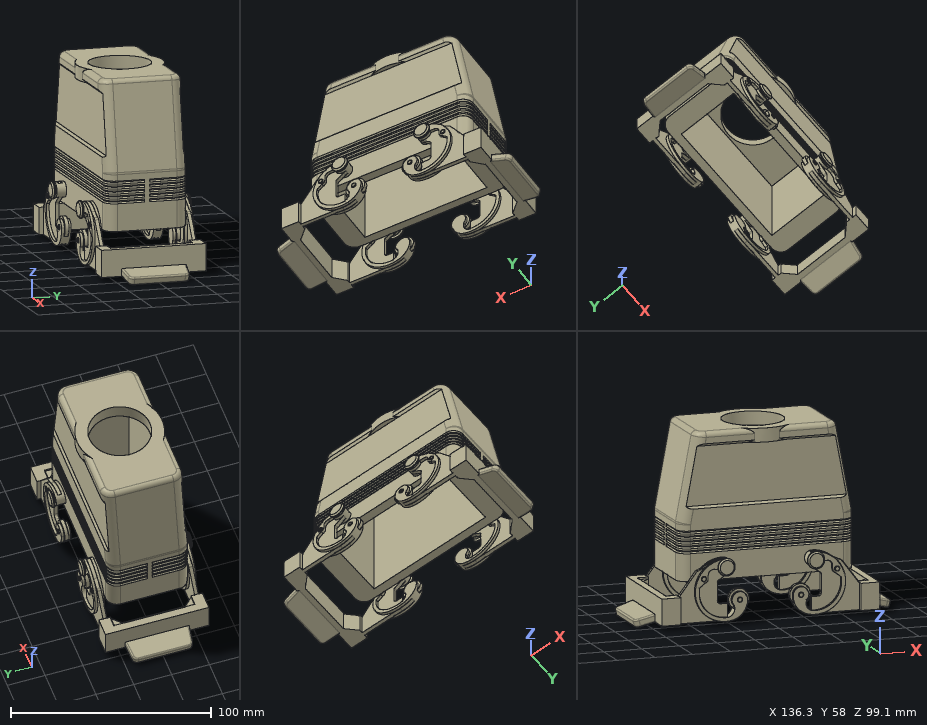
import cadquery as cq
import math

hood_length = 93.0
hood_depth = 42.9
hood_height = 76.0
shoulder_z = 29.7
top_length = 75.5
shoulder_radius = 5.5
corner_radius = 6.0
top_edge_radius = 2.7

cavity_length = 70.6
cavity_depth = 34.1

entry_radius = 16.0
collar_radius = 22.5
collar_height = 7.2
roof_z = hood_height - collar_height

panel_depth = 1.2
panel_bottom_z = 37.1
panel_top_z = roof_z + panel_depth

groove_count = 5
groove_spread = 10.1
groove_pitch = groove_spread / (groove_count - 1)
groove_depth = 0.75
groove_first_z = 14.3
groove_gap = 2.7

pivot_x = -23.7
hook_radius = 16.1
hook_center_z = -4.6
hook_rim_step = 0.3
lever_bottom_z = hook_center_z - hook_radius + hook_rim_step
hook_inner_radius = 14.0
eye_radius = 4.0
pivot_z = hook_center_z + hook_radius - eye_radius
eye_shelf_z = 6.5
tail_radius = 10.1
tip_x = -16.2
tip_z = -10.0
tip_radius = 4.1
tip_plate_radius = 5.5
rivet_x = -35.3
rivet_z = 2.0
rivet_radius = 1.4
rivet_boss_radius = 2.3
rivet_height = 0.4
rivet_chamfer = 0.3

hook_inner_y = 21.7
hook_thickness = 5.0
hook_outer_y = hook_inner_y + hook_thickness
web_thickness = 2.0
web_inner_y = hook_inner_y + (hook_thickness - web_thickness) / 2

neck_radius = 2.5
neck_embed = 2.0
head_radius = 4.5
head_thickness = 1.4
head_chamfer = 0.8
head_outer_y = 29.0

bar_outer_x = -57.8
bar_thickness = 4.2
arm_end_x = -47.7
bar_width = 54.8
arm_gap = 42.7
bar_top_z = -6.4
bar_height = bar_top_z - lever_bottom_z
gusset_size = 5.9
gusset_drop = 1.0

tab_angle = 15
tab_thickness = 4.2
tab_reach = 10.9
tab_embed = 1.4
tab_root_width = 34.3
tab_end_width = 31.3
tab_corner_radius = 2.7
tab_edge_radius = 0.8
tab_root_top_z = -16.4


def polar(center, radius, degrees):
    """Point on a circle in the XZ plane."""
    angle = math.radians(degrees)
    return (center[0] + radius * math.cos(angle), center[1] + radius * math.sin(angle))


def direction(start, end):
    """Angle in degrees of the line from start to end."""
    return math.degrees(math.atan2(end[1] - start[1], end[0] - start[0]))


def plate(profile_wire, inner_y, thickness):
    """Thicken an XZ wire towards -Y, starting at the distance inner_y from the XZ plane."""
    return profile_wire.extrude(thickness).translate((0, -inner_y, 0))


def disc(center, radius, inner_y, thickness):
    return plate(cq.Workplane("XZ").center(*center).circle(radius), inner_y, thickness)


def with_mirror(shape, plane):
    return shape.union(shape.mirror(plane))


def hood_block():
    """House-shaped block with blended shoulders, rounded upright edges and a rounded top edge."""
    low = hood_length / 2
    high = top_length / 2
    outline = [
        (-low, 0),
        (low, 0),
        (low, shoulder_z),
        (high, hood_height),
        (-high, hood_height),
        (-low, shoulder_z),
    ]
    block = cq.Workplane("XZ").polyline(outline).close().extrude(hood_depth / 2, both=True)
    for x in (-low, low):
        shoulder = cq.selectors.NearestToPointSelector((x, 0, shoulder_z))
        block = block.edges("|Y").edges(shoulder).fillet(shoulder_radius)
    block = block.edges("not(#Z or |Y)").fillet(corner_radius)
    return block.faces(">Z").edges().fillet(top_edge_radius)


def panel_recess():
    """Full-length cut in the -Y wall, with sloped upper and lower edges."""
    face_y = -hood_depth / 2
    outside_y = face_y - panel_depth
    outline = [
        (face_y, panel_bottom_z),
        (face_y + panel_depth, panel_bottom_z + panel_depth),
        (face_y + panel_depth, panel_top_z - panel_depth),
        (face_y, panel_top_z),
        (outside_y, panel_top_z),
        (outside_y, panel_bottom_z),
    ]
    return cq.Workplane("YZ").polyline(outline).close().extrude(hood_length / 2, both=True)


def grip_groove(bottom_z):
    """V-shaped groove round the hood, broken in the middle of both end walls."""
    width = 2 * groove_depth
    outer_profile = cq.Sketch().rect(hood_length, hood_depth).vertices().fillet(corner_radius)
    lower_flank = cq.Workplane("XY").placeSketch(outer_profile).extrude(groove_depth, taper=45)
    upper_flank = lower_flank.mirror("XY").translate((0, 0, width))
    strip = cq.Workplane("XY").box(2 * hood_length, groove_gap, 2 * width)
    ring = cq.Workplane("XY").box(hood_length, hood_depth, width, centered=(True, True, False))
    return ring.cut(lower_flank).cut(upper_flank).cut(strip).translate((0, 0, bottom_z))


def make_hood():
    hood = hood_block().cut(with_mirror(panel_recess(), "XZ"))
    collar = cq.Workplane("XY").workplane(offset=roof_z).circle(collar_radius).extrude(collar_height)
    hood = hood.union(collar)
    hood = hood.cut(cq.Workplane("XY").rect(cavity_length, cavity_depth).extrude(roof_z))
    hood = hood.cut(cq.Workplane("XY").circle(entry_radius).extrude(hood_height))
    for index in range(groove_count):
        hood = hood.cut(grip_groove(groove_first_z + index * groove_pitch))
    return hood


hook_center = (pivot_x, hook_center_z)
pivot = (pivot_x, pivot_z)
tip = (tip_x, tip_z)
rivet = (rivet_x, rivet_z)


def tail_center():
    """Center of the blend arc that touches both the hook and the tip from inside."""
    from_hook = hook_radius - tail_radius
    from_tip = tail_radius - tip_radius
    span = math.dist(hook_center, tip)
    cosine = (from_hook**2 + span**2 - from_tip**2) / (2 * from_hook * span)
    return polar(hook_center, from_hook, direction(hook_center, tip) - math.degrees(math.acos(cosine)))


def hook_body():
    """C-shaped hook through the full lever thickness."""
    blend = tail_center()
    hook_to_blend = direction(hook_center, blend)
    blend_to_tip = direction(blend, tip)
    tip_left = 225
    neck_end = -84
    inner_middle = 225
    inner_end = 171
    boss_end = -75
    shelf_radius = 2.7
    boss_right = rivet_x + rivet_boss_radius
    neck_bulge = (tip_x - 2.7, tip_z - 4.9)
    return plate(
        cq.Workplane("XZ")
        .moveTo(*polar(hook_center, hook_radius, 90))
        .threePointArc(polar(hook_center, hook_radius, 180), polar(hook_center, hook_radius, hook_to_blend))
        .threePointArc(
            polar(blend, tail_radius, (hook_to_blend + blend_to_tip) / 2),
            polar(blend, tail_radius, blend_to_tip),
        )
        .threePointArc(
            polar(tip, tip_radius, (blend_to_tip + tip_left) / 2),
            polar(tip, tip_radius, tip_left),
        )
        .threePointArc(neck_bulge, polar(hook_center, hook_inner_radius, neck_end))
        .threePointArc(
            polar(hook_center, hook_inner_radius, inner_middle),
            polar(hook_center, hook_inner_radius, inner_end),
        )
        .lineTo(*polar(rivet, rivet_boss_radius, boss_end))
        .threePointArc(polar(rivet, rivet_boss_radius, boss_end / 2), (boss_right, rivet_z))
        .lineTo(boss_right, eye_shelf_z - shelf_radius)
        .radiusArc((boss_right + shelf_radius, eye_shelf_z), shelf_radius)
        .lineTo(pivot_x, eye_shelf_z)
        .close(),
        hook_inner_y,
        hook_thickness,
    )


def web():
    """Thin plate that ties the hook to the handle and closes its inside up to the throat."""
    throat_x = pivot_x - 3.8
    throat_floor_z = -11.7
    lip_x = pivot_x + 1.5
    lip_foot_z = lever_bottom_z + 0.8
    throat_top_z = 0
    shoulder = (-38.6, 5.7)
    rim_angle = 126
    eye_angle = -60
    outline = [
        (arm_end_x, lever_bottom_z),
        (arm_end_x, bar_top_z),
        shoulder,
        polar(hook_center, hook_radius - hook_rim_step, rim_angle),
        pivot,
        polar(pivot, eye_radius, eye_angle),
        (throat_x, throat_top_z),
        (throat_x, throat_floor_z),
        (lip_x, throat_floor_z),
        (lip_x, lip_foot_z),
        (pivot_x, lever_bottom_z),
    ]
    body = plate(cq.Workplane("XZ").polyline(outline).close(), web_inner_y, web_thickness)
    rounded = [(shoulder, 2.7), ((throat_x, throat_top_z), 1.1), ((throat_x, throat_floor_z), 1.8)]
    for (x, z), radius in rounded:
        corner = cq.selectors.NearestToPointSelector((x, -web_inner_y - web_thickness / 2, z))
        body = body.edges("|Y").edges(corner).fillet(radius)
    return body


def rim_groove():
    """Shallow step round the middle layer of the hook's rim."""
    rim = cq.Workplane("XZ").center(*hook_center).circle(2 * hook_radius).circle(hook_radius - hook_rim_step)
    return plate(rim, web_inner_y, web_thickness)


def rivet_head(center):
    pin = disc(center, rivet_radius, web_inner_y, hook_outer_y + rivet_height - web_inner_y)
    return pin.faces("<Y").chamfer(rivet_chamfer)


def pivot_pin():
    """Pin from within the hood wall out to a chamfered head."""
    neck_start_y = hood_depth / 2 - neck_embed
    neck = disc(pivot, neck_radius, neck_start_y, head_outer_y - head_thickness / 2 - neck_start_y)
    head = disc(pivot, head_radius, head_outer_y - head_thickness, head_thickness)
    return neck.union(head.faces("<Y").chamfer(head_chamfer))


def lever_side():
    side = hook_body().union(disc(pivot, eye_radius, hook_inner_y, hook_thickness))
    side = side.cut(rim_groove()).union(web())
    side = side.union(disc(tip, tip_plate_radius, web_inner_y, web_thickness))
    return side.union(rivet_head(rivet)).union(rivet_head(tip)).union(pivot_pin())


def handle_bar():
    """U-shaped bar with a gusset in each inner corner."""
    inner_x = bar_outer_x + bar_thickness
    bar = (
        cq.Workplane("XY")
        .workplane(offset=lever_bottom_z)
        .moveTo(bar_outer_x, -bar_width / 2)
        .hLineTo(arm_end_x)
        .vLineTo(-arm_gap / 2)
        .hLineTo(inner_x)
        .vLineTo(arm_gap / 2)
        .hLineTo(arm_end_x)
        .vLineTo(bar_width / 2)
        .hLineTo(bar_outer_x)
        .close()
        .extrude(bar_height)
    )
    gusset = (
        cq.Workplane("XY")
        .workplane(offset=lever_bottom_z)
        .moveTo(inner_x, -arm_gap / 2)
        .lineTo(inner_x + gusset_size, -arm_gap / 2)
        .lineTo(inner_x, -arm_gap / 2 + gusset_size)
        .close()
        .extrude(bar_height - gusset_drop)
    )
    return bar.union(with_mirror(gusset, "XZ"))


def finger_tab():
    """Tapered tab that slopes down away from the bar."""
    outline = [
        (tab_embed, -tab_root_width / 2),
        (tab_embed, tab_root_width / 2),
        (-tab_reach, tab_end_width / 2),
        (-tab_reach, -tab_end_width / 2),
    ]
    tab = cq.Workplane("XY").polyline(outline).close().extrude(-tab_thickness)
    tab = tab.edges("|Z and <X").fillet(tab_corner_radius)
    tab = tab.faces("|Z").edges("not >X").fillet(tab_edge_radius)
    tab = tab.rotate((0, 0, 0), (0, 1, 0), -tab_angle)
    return tab.translate((bar_outer_x, 0, tab_root_top_z))


def make_lever():
    return handle_bar().union(finger_tab()).union(with_mirror(lever_side(), "XZ"))


result = make_hood().union(with_mirror(make_lever(), "YZ"))